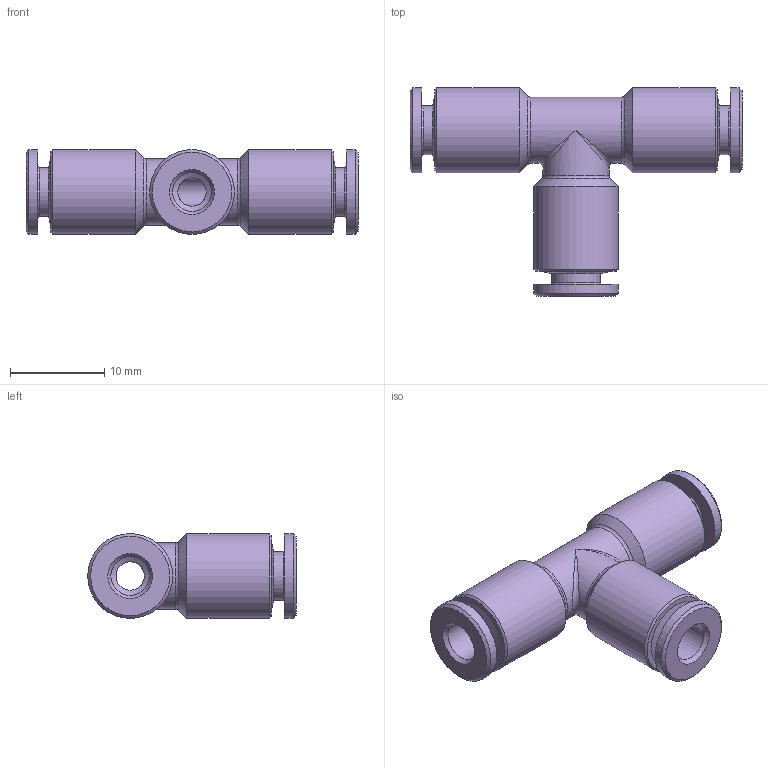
import cadquery as cq
import math

port_reach = 17.6
body_radius = 4.5
stem_radius = 3.5

shoulder_start = 6.0
shoulder_fillet = 0.5
body_chamfer = 0.2
body_end = 14.97
end_cone_length = 0.22
end_cone_radius = 3.7

shoulder_foot = shoulder_start - (body_radius - stem_radius)
fillet_run = shoulder_fillet * math.tan(math.radians(22.5))
fillet_rise = fillet_run * math.cos(math.radians(45))
stem_end = shoulder_foot - fillet_run

neck_radius = 2.6
neck_fillet = 0.15
collar_thickness = 1.25
collar_chamfer = 0.3

bore_radius = 1.5
socket_radius = 2.05
socket_floor = 6.5
socket_stop_length = 0.35
mouth_radius = 2.38
mouth_depth = 0.45

crotch_fillet = 0.5

port_angles = (0, 180, -90)


def revolve_about_x(profile):
    """Close a half profile (X along the port, Y radial) and turn it about the port axis."""
    return profile.close().revolve(360, (0, 0, 0), (1, 0, 0))


def port_body():
    """Shoulder, barrel, neck and release collar, starting where the stem ends."""
    collar_back = port_reach - collar_thickness
    return revolve_about_x(
        cq.Workplane("XY")
        .moveTo(stem_end, 0)
        .lineTo(stem_end, stem_radius)
        .radiusArc((shoulder_foot + fillet_rise, stem_radius + fillet_rise), -shoulder_fillet)
        .lineTo(shoulder_start, body_radius)
        .lineTo(body_end - body_chamfer, body_radius)
        .lineTo(body_end, body_radius - body_chamfer)
        .lineTo(body_end, end_cone_radius)
        .lineTo(body_end + end_cone_length, neck_radius)
        .lineTo(collar_back - neck_fillet, neck_radius)
        .tangentArcPoint((collar_back, neck_radius + neck_fillet), relative=False)
        .lineTo(collar_back, body_radius)
        .lineTo(port_reach - collar_chamfer, body_radius)
        .lineTo(port_reach, body_radius - collar_chamfer)
        .lineTo(port_reach, 0)
    )


def port_bore():
    return revolve_about_x(
        cq.Workplane("XY")
        .lineTo(0, bore_radius)
        .lineTo(socket_floor - socket_stop_length, bore_radius)
        .lineTo(socket_floor, socket_radius)
        .lineTo(port_reach - mouth_depth, socket_radius)
        .lineTo(port_reach, mouth_radius)
        .lineTo(port_reach, 0)
    )


def tee_core():
    """Crossing stems, with the curved seam between run and branch rounded."""
    run = cq.Workplane("YZ").circle(stem_radius).extrude(stem_end, both=True)
    branch = cq.Workplane("XZ").circle(stem_radius).extrude(stem_end)
    return run.union(branch).edges("%ELLIPSE").fillet(crotch_fillet)


def at_each_port(shape):
    return [shape.rotate((0, 0, 0), (0, 0, 1), angle) for angle in port_angles]


result = tee_core()
for body in at_each_port(port_body()):
    result = result.union(body)
for bore in at_each_port(port_bore()):
    result = result.cut(bore)